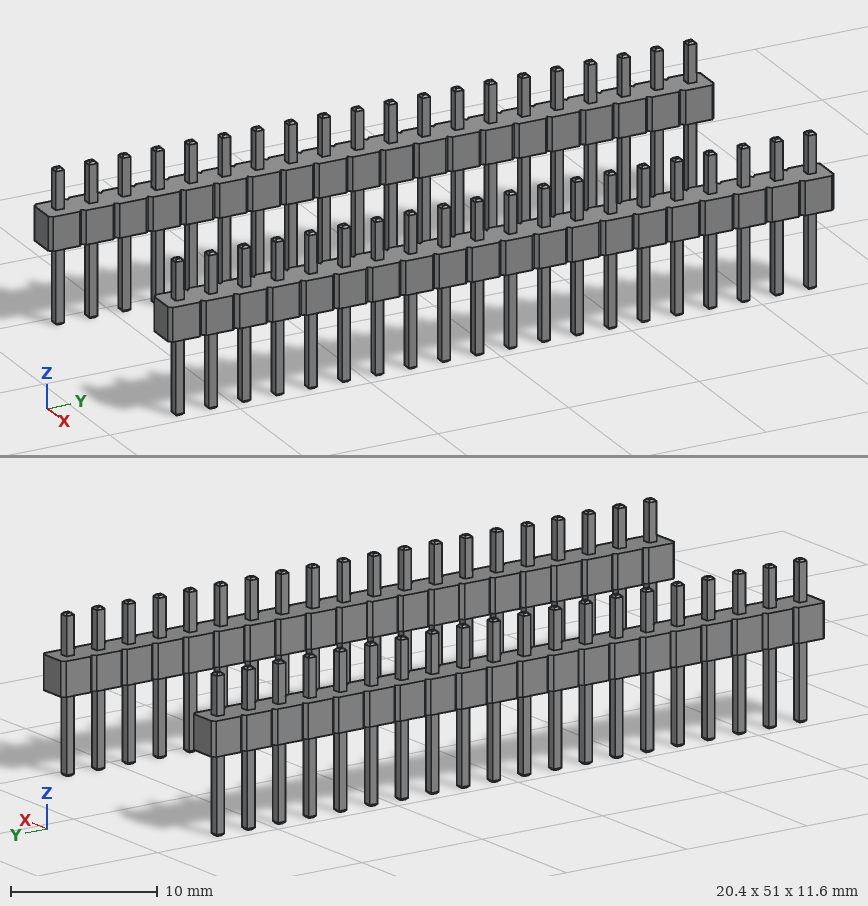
import cadquery as cq

pin_count = 20
pitch = 2.55
cell_height = 2.55
cell_chamfer = 0.25
header_spacing = 17.8
pin_width = pitch / 4
pin_above = 3.0
pin_below = 6.0
tip_chamfer = 0.15

pin_length = pin_below + cell_height + pin_above
header_length = pin_count * pitch
pin_positions = [
    (0, (index + 0.5) * pitch - header_length / 2)
    for index in range(pin_count)
]


def make_housing():
    """Row of square cells with bevelled corners, its underside at Z = 0."""
    half = pitch / 2
    flat = half - cell_chamfer
    right_side = []
    left_side = []
    for _, y in pin_positions:
        right_side += [(flat, y - half), (half, y - flat), (half, y + flat)]
        left_side += [(-flat, y - half), (-half, y - flat), (-half, y + flat)]
    end_y = header_length / 2
    right_side.append((flat, end_y))
    left_side.append((-flat, end_y))
    outline = right_side + left_side[::-1]
    return cq.Workplane("XY").polyline(outline).close().extrude(cell_height)


def make_pins():
    """Square pins with bevelled tips, passing through every cell."""
    pin = (
        cq.Workplane("XY", origin=(0, 0, -pin_below))
        .rect(pin_width, pin_width)
        .extrude(pin_length)
        .faces("<Z or >Z")
        .chamfer(tip_chamfer)
        .val()
    )
    return cq.Workplane("XY").pushPoints(pin_positions).eachpoint(pin)


def make_header():
    """One complete header, with its pins and housing as a single solid."""
    return make_housing().union(make_pins())


header_solid = make_header().solids().val()
header_places = [(-header_spacing / 2, 0), (header_spacing / 2, 0)]
headers = cq.Workplane("XY").pushPoints(header_places).eachpoint(header_solid)

result = cq.Compound.makeCompound([*headers.vals()])